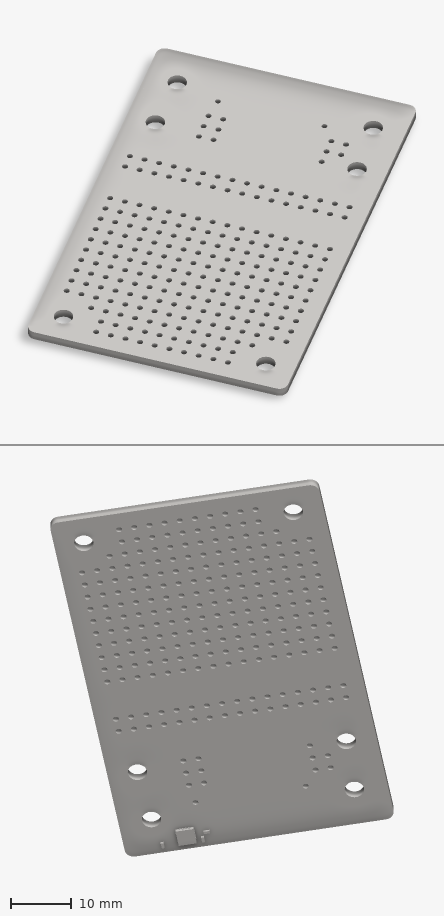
import cadquery as cq

BOARD_WIDTH = 45.0
BOARD_LENGTH = 70.0
OVERALL_HEIGHT = 2.25
BOARD_THICKNESS = 1.6
CORNER_RADIUS = 1.5

MOUNTING_DIAMETER = 3.2
MOUNTING_CENTRES = [
    (-17.0, 28.0),
    (17.0, 28.0),
    (-17.5, 18.0),
    (17.5, 18.0),
    (-17.6, -30.0),
    (17.5, -30.0),
]

PITCH = 2.54
PIN_HOLE_DIAMETER = 1.0
GRID_CENTRE_X = 0.05
GRID_COLUMNS = 16
PAIR_ROWS = 2
PAIR_TOP_Y = 9.14
FIELD_TOP_Y = -1.21
FIELD_FULL_ROWS = 10
FIELD_SHORT_ROWS = [12, 10, 10]
FIELD_ROW_COLUMNS = [GRID_COLUMNS] * FIELD_FULL_ROWS + FIELD_SHORT_ROWS

LEFT_HEADER_CENTRE = (-8.38, 19.62)
RIGHT_HEADER_CENTRE = (12.69, 20.34)
HEADER_COLUMNS = 2
HEADER_ROWS = 3

SINGLE_HOLE_DIAMETER = 0.95
SINGLE_HOLE_X = 9.24
SINGLE_HOLE_Y = 25.86
SINGLE_CENTRES = [(-SINGLE_HOLE_X, SINGLE_HOLE_Y), (SINGLE_HOLE_X, SINGLE_HOLE_Y)]

SOLDER_GAP = 0.05
COMPONENT_TOP = -SOLDER_GAP

CHIP_CENTRE = (-11.98, 32.2)
CHIP_SIZE = 3.0
CHIP_HEIGHT = OVERALL_HEIGHT - BOARD_THICKNESS - SOLDER_GAP
LEADS_PER_SIDE = 4
LEAD_PITCH = 0.5
LEAD_WIDTH = 0.3
LEAD_HEIGHT = 0.25
LEAD_OVERHANG = 0.07

CAPACITOR_SECTION = 0.47
CAPACITOR_LENGTH = 1.0
CAPACITOR_CENTRES = [(-16.1, 33.3), (-9.35, 33.3)]

RESISTOR_LENGTH = 1.0
RESISTOR_WIDTH = 0.5
RESISTOR_HEIGHT = 0.35
RESISTOR_CENTRE = (-8.5, 32.0)


def row_points(columns, center_x, y):
    """Centres of one row of holes spread evenly about center_x."""
    first_x = center_x - (columns - 1) * PITCH / 2
    return [(first_x + column * PITCH, y) for column in range(columns)]


def grid_points():
    """Centres of the two-row strip and of the large field below it."""
    points = []
    for row in range(PAIR_ROWS):
        points += row_points(GRID_COLUMNS, GRID_CENTRE_X, PAIR_TOP_Y - row * PITCH)
    for row, columns in enumerate(FIELD_ROW_COLUMNS):
        points += row_points(columns, GRID_CENTRE_X, FIELD_TOP_Y - row * PITCH)
    return points


def header_points(centre):
    """Centres of a full pin header, row by row towards -Y and from -X to +X in each row."""
    center_x, center_y = centre
    top_y = center_y + (HEADER_ROWS - 1) * PITCH / 2
    points = []
    for row in range(HEADER_ROWS):
        points += row_points(HEADER_COLUMNS, center_x, top_y - row * PITCH)
    return points


def make_board():
    board = (
        cq.Workplane("XY")
        .rect(BOARD_WIDTH, BOARD_LENGTH)
        .extrude(BOARD_THICKNESS)
        .edges("|Z")
        .fillet(CORNER_RADIUS)
    )
    pin_centres = grid_points() + header_points(LEFT_HEADER_CENTRE) + header_points(RIGHT_HEADER_CENTRE)[:-1]
    hole_sets = [
        (MOUNTING_CENTRES, MOUNTING_DIAMETER),
        (SINGLE_CENTRES, SINGLE_HOLE_DIAMETER),
        (pin_centres, PIN_HOLE_DIAMETER),
    ]
    for centres, diameter in hole_sets:
        drills = cq.Workplane("XY").pushPoints(centres).circle(diameter / 2).extrude(BOARD_THICKNESS)
        board = board.cut(drills)
    return board


def hanging_block(centre, size_x, size_y, height):
    """A block below the board whose top lies one solder gap under it."""
    return (
        cq.Workplane("XY", origin=(0, 0, COMPONENT_TOP))
        .center(*centre)
        .rect(size_x, size_y)
        .extrude(-height)
    )


def make_chip():
    chip = hanging_block(CHIP_CENTRE, CHIP_SIZE, CHIP_SIZE, CHIP_HEIGHT)
    center_x, center_y = CHIP_CENTRE
    span = CHIP_SIZE + 2 * LEAD_OVERHANG
    for lead in range(LEADS_PER_SIDE):
        offset = (lead - (LEADS_PER_SIDE - 1) / 2) * LEAD_PITCH
        chip = chip.union(hanging_block((center_x, center_y + offset), span, LEAD_WIDTH, LEAD_HEIGHT))
        chip = chip.union(hanging_block((center_x + offset, center_y), LEAD_WIDTH, span, LEAD_HEIGHT))
    return chip


def make_capacitor(centre):
    return hanging_block(centre, CAPACITOR_SECTION, CAPACITOR_LENGTH, CAPACITOR_SECTION)


def make_resistor():
    return hanging_block(RESISTOR_CENTRE, RESISTOR_LENGTH, RESISTOR_WIDTH, RESISTOR_HEIGHT)


board = make_board()
chip = make_chip()
capacitors = [make_capacitor(centre) for centre in CAPACITOR_CENTRES]
resistor = make_resistor()

result = cq.Compound.makeCompound(
    [
        board.val(),
        chip.val(),
        *[capacitor.val() for capacitor in capacitors],
        resistor.val(),
    ]
)